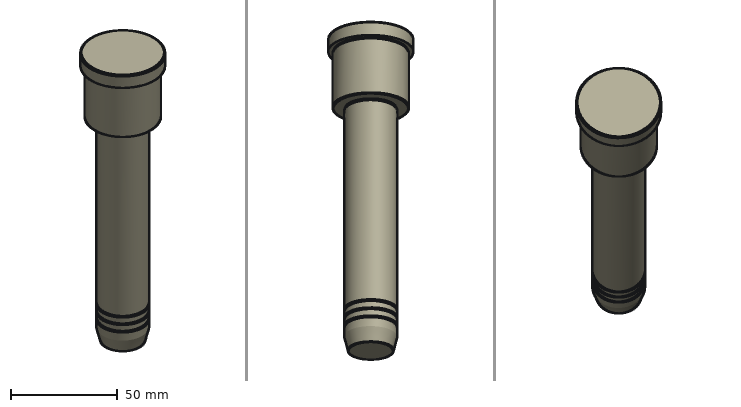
import cadquery as cq

total_length = 160.0
head_radius = 20.0
head_height = 7.0
head_chamfer = 0.6
collar_radius = 18.0
collar_bottom_z = 124.0
collar_chamfer = 0.5
shank_radius = 12.5

relief_depth = 0.5
head_relief_height = 0.5
collar_relief_height = 1.0

tip_length = 7.2
tip_radius = 10.7
tip_chamfer = 0.3

groove_count = 3
first_groove_z = 12.3
groove_pitch = 4.2
groove_width = 1.0
groove_depth = 0.3


def cylinder(radius, bottom_z, top_z):
    return cq.Workplane("XY").workplane(offset=bottom_z).circle(radius).extrude(top_z - bottom_z)


def groove_cutter(center_z):
    """V-shaped ring with its point towards the axis."""
    half_width = groove_width / 2
    profile = cq.Workplane("XZ").polyline([
        (shank_radius, center_z - half_width),
        (shank_radius - groove_depth, center_z),
        (shank_radius, center_z + half_width),
    ])
    return profile.close().revolve(360, (0, 0, 0), (0, 1, 0))


def make_shank():
    profile = (
        cq.Workplane("XZ")
        .lineTo(tip_radius, 0)
        .lineTo(shank_radius, tip_length)
        .lineTo(shank_radius, collar_bottom_z - collar_relief_height)
        .lineTo(shank_radius - relief_depth, collar_bottom_z - collar_relief_height)
        .lineTo(shank_radius - relief_depth, collar_bottom_z)
        .lineTo(0, collar_bottom_z)
        .close()
    )
    shank = profile.revolve(360, (0, 0, 0), (0, 1, 0))
    return shank.faces("<Z").edges().chamfer(tip_chamfer)


def make_collar():
    collar_top_z = total_length - head_height
    neck_bottom_z = collar_top_z - head_relief_height
    body = cylinder(collar_radius, collar_bottom_z, neck_bottom_z)
    body = body.faces("<Z or >Z").edges().chamfer(collar_chamfer)
    neck = cylinder(collar_radius - relief_depth, neck_bottom_z, collar_top_z)
    return body.union(neck)


def make_head():
    head = cylinder(head_radius, total_length - head_height, total_length)
    return head.faces(">Z").edges().chamfer(head_chamfer)


result = make_shank().union(make_collar()).union(make_head())

for index in range(groove_count):
    result = result.cut(groove_cutter(first_groove_z + index * groove_pitch))